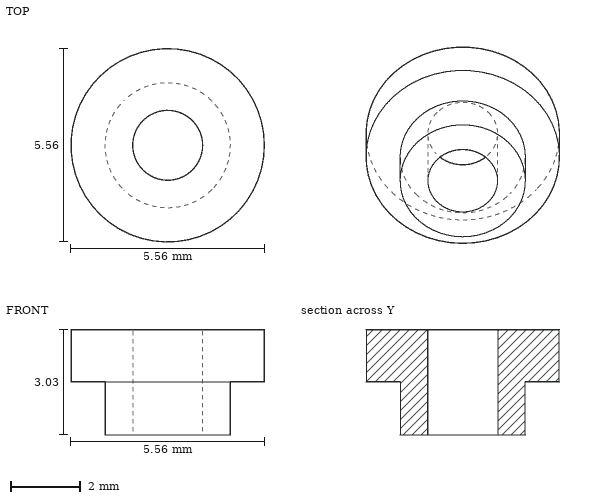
import cadquery as cq

flange_diameter = 5.56
sleeve_diameter = 3.6
bore_diameter = 2.0
total_height = 3.03
flange_height = 1.5
sleeve_height = total_height - flange_height

sleeve = cq.Workplane("XY").circle(sleeve_diameter / 2).extrude(sleeve_height)

bushing = sleeve.faces(">Z").workplane().circle(flange_diameter / 2).extrude(flange_height)

result = bushing.faces(">Z").workplane().circle(bore_diameter / 2).cutThruAll()